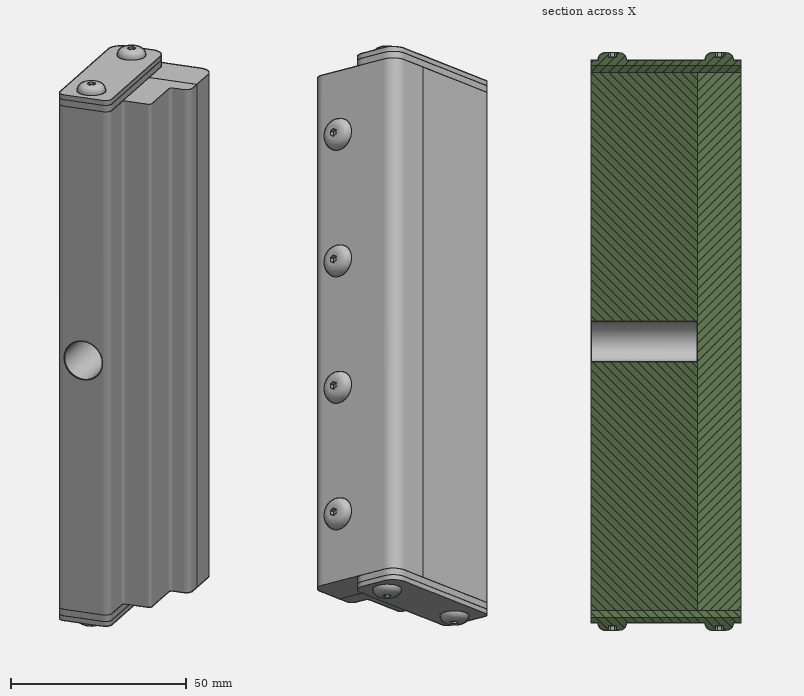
import cadquery as cq
import math

TOTAL_LENGTH = 164.4

GASKET_THICKNESS = 2.0
CAP_THICKNESS = 1.5
END_HEAD_HEIGHT = 2.1
EXTRUSION_LENGTH = TOTAL_LENGTH - 2 * (GASKET_THICKNESS + CAP_THICKNESS + END_HEAD_HEIGHT)

TOTAL_DEPTH = 45.2
REAR_HEAD_HEIGHT = 2.5
BOX_WIDTH = 16.0
BOX_DEPTH = TOTAL_DEPTH - REAR_HEAD_HEIGHT
REAR_RADIUS = 4.0
FRONT_RADIUS = 2.0

TOTAL_WIDTH = 30.5
SPLIT_DEPTH = 12.5
LEDGE_DEPTH = 17.8
STEP_DEPTH = 32.4
STEP_WIDTH = 8.5
LEDGE_RADIUS = 2.0
STEP_RADIUS = 1.0

OPENING_DIAMETER = 11.5
OPENING_CHAMFER = 0.2

SOCKET_ACROSS_FLATS = 2.0
SOCKET_DEPTH = 1.3
END_HEAD_DIAMETER = 8.2
END_SCREW_SPACING = 30.4
REAR_HEAD_DIAMETER = 9.4
REAR_SCREW_COUNT = 4
REAR_SCREW_SPACING = 38.0
REAR_SCREW_X = 20.7
REAR_ROW_OFFSET = 0.5


def screw_head(diameter, height):
    """Head on the XY plane, rising along +Z: a flat top with a hexagon socket and a fully rounded side."""
    flat_radius = diameter / 2 - height
    diagonal = height * math.sqrt(0.5)
    head = (
        cq.Workplane("XZ")
        .lineTo(diameter / 2, 0)
        .threePointArc((flat_radius + diagonal, diagonal), (flat_radius, height))
        .lineTo(0, height)
        .close()
        .revolve(360, (0, 0, 0), (0, 1, 0))
    )
    socket = (
        cq.Workplane("XY", origin=(0, 0, height - SOCKET_DEPTH))
        .polygon(6, SOCKET_ACROSS_FLATS, circumscribed=True)
        .extrude(SOCKET_DEPTH)
    )
    return head.cut(socket)


def box_plate(thickness):
    """Plate with the outline of the box section, lying on Z = 0."""
    return (
        cq.Workplane("XY")
        .rect(BOX_WIDTH, BOX_DEPTH)
        .extrude(thickness)
        .translate((BOX_WIDTH / 2, -BOX_DEPTH / 2, 0))
        .edges("|Z and >Y")
        .fillet(REAR_RADIUS)
        .edges("|Z and <Y")
        .fillet(FRONT_RADIUS)
    )


def make_rear_extrusion():
    """Full width rear bar with its row of screw heads."""
    bar = (
        cq.Workplane("XY")
        .rect(TOTAL_WIDTH, SPLIT_DEPTH)
        .extrude(EXTRUSION_LENGTH / 2, both=True)
        .translate((TOTAL_WIDTH / 2, -SPLIT_DEPTH / 2, 0))
        .edges("|Z and >Y")
        .fillet(REAR_RADIUS)
    )
    head = screw_head(REAR_HEAD_DIAMETER, REAR_HEAD_HEIGHT).rotate((0, 0, 0), (1, 0, 0), -90)
    for index in range(REAR_SCREW_COUNT):
        z = REAR_ROW_OFFSET + (index - (REAR_SCREW_COUNT - 1) / 2) * REAR_SCREW_SPACING
        bar = bar.union(head.translate((REAR_SCREW_X, 0, z)))
    return bar


def fillet_corner(body, x, depth, radius):
    """Round the lengthwise edge of body at the given corner of its cross section."""
    return body.edges(cq.selectors.NearestToPointSelector((x, -depth, 0))).fillet(radius)


def make_front_extrusion():
    """Stepped front bar with a round opening in its front face."""
    step_x = BOX_WIDTH + STEP_WIDTH
    bar = (
        cq.Workplane("XY")
        .moveTo(0, -SPLIT_DEPTH)
        .lineTo(TOTAL_WIDTH, -SPLIT_DEPTH)
        .lineTo(TOTAL_WIDTH, -LEDGE_DEPTH)
        .lineTo(step_x, -LEDGE_DEPTH)
        .lineTo(step_x, -STEP_DEPTH)
        .lineTo(BOX_WIDTH, -STEP_DEPTH)
        .lineTo(BOX_WIDTH, -BOX_DEPTH)
        .lineTo(0, -BOX_DEPTH)
        .close()
        .extrude(EXTRUSION_LENGTH / 2, both=True)
    )

    bar = bar.edges("|Z and <Y").fillet(FRONT_RADIUS)
    bar = fillet_corner(bar, TOTAL_WIDTH, LEDGE_DEPTH, LEDGE_RADIUS)
    bar = fillet_corner(bar, step_x, LEDGE_DEPTH, STEP_RADIUS)
    bar = fillet_corner(bar, step_x, STEP_DEPTH, STEP_RADIUS)
    bar = fillet_corner(bar, BOX_WIDTH, STEP_DEPTH, STEP_RADIUS)

    opening = (
        cq.Workplane("XZ", origin=(BOX_WIDTH / 2, -SPLIT_DEPTH, 0))
        .circle(OPENING_DIAMETER / 2)
        .extrude(BOX_DEPTH - SPLIT_DEPTH)
    )
    rim = cq.selectors.RadiusNthSelector(0)
    return bar.cut(opening).faces("<Y").edges(rim).chamfer(OPENING_CHAMFER)


def make_gasket():
    """Top gasket, lying on the end of the extrusions."""
    return box_plate(GASKET_THICKNESS).translate((0, 0, EXTRUSION_LENGTH / 2))


def make_end_cap():
    """Top cap plate with its two screw heads."""
    cap = box_plate(CAP_THICKNESS)
    head = screw_head(END_HEAD_DIAMETER, END_HEAD_HEIGHT)
    for side in (-1, 1):
        y = -BOX_DEPTH / 2 + side * END_SCREW_SPACING / 2
        cap = cap.union(head.translate((BOX_WIDTH / 2, y, CAP_THICKNESS)))
    return cap.translate((0, 0, EXTRUSION_LENGTH / 2 + GASKET_THICKNESS))


rear_extrusion = make_rear_extrusion()
front_extrusion = make_front_extrusion()

end_bodies = []
for top_body in (make_gasket(), make_end_cap()):
    end_bodies.append(top_body.val())
    end_bodies.append(top_body.mirror("XY").val())

result = cq.Compound.makeCompound([rear_extrusion.val(), front_extrusion.val(), *end_bodies])